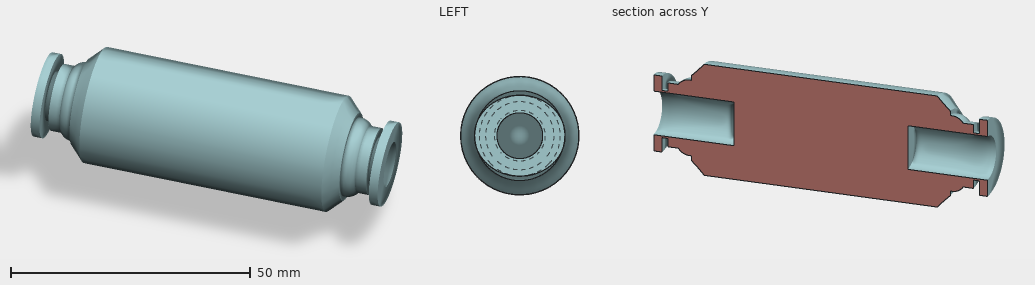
import cadquery as cq
import math

total_length = 75.4
body_diameter = 24.8

flange_thickness = 1.9
neck_length = 1.3
collar_length = 2.35
bulge_length = 2.45
land_length = 0.4
body_chamfer = 3.0

neck_diameter = 10.6
collar_diameter = 14.3
land_diameter = 16.9
bore_diameter = 9.6
bore_depth = 18.0

flange_width = 19.0
flange_height = 17.0

half_length = total_length / 2
flange_inner_x = half_length - flange_thickness
collar_outer_x = flange_inner_x - neck_length
bulge_outer_x = collar_outer_x - collar_length
land_outer_x = bulge_outer_x - bulge_length
body_end_x = land_outer_x - land_length

neck_radius = neck_diameter / 2
collar_radius = collar_diameter / 2
land_radius = land_diameter / 2


def make_body():
    """Cylinder along X with a 45 degree chamfer at both ends."""
    cylinder = (
        cq.Workplane("YZ", origin=(-body_end_x, 0, 0))
        .circle(body_diameter / 2)
        .extrude(2 * body_end_x)
    )
    return cylinder.faces("<X or >X").chamfer(body_chamfer)


def make_stepped_end():
    """Neck, collar, bulge and land at the +X end, revolved about the X axis."""
    bulge_rise = land_radius - collar_radius
    bulge_arc_radius = (bulge_length**2 + bulge_rise**2) / (2 * bulge_rise)
    half_angle = math.asin(bulge_length / bulge_arc_radius) / 2
    bulge_middle = (
        land_outer_x + bulge_arc_radius * math.sin(half_angle),
        land_radius - bulge_arc_radius * (1 - math.cos(half_angle)),
    )
    profile = (
        cq.Workplane("XY")
        .moveTo(body_end_x, 0)
        .lineTo(body_end_x, land_radius)
        .lineTo(land_outer_x, land_radius)
        .threePointArc(bulge_middle, (bulge_outer_x, collar_radius))
        .lineTo(collar_outer_x, collar_radius)
        .lineTo(collar_outer_x, neck_radius)
        .lineTo(flange_inner_x, neck_radius)
        .lineTo(flange_inner_x, 0)
        .close()
    )
    return profile.revolve(360, (0, 0, 0), (1, 0, 0))


def make_flange():
    """Elliptical flange at the +X end, lower in Z than it is wide in Y."""
    return (
        cq.Workplane("YZ", origin=(flange_inner_x, 0, 0))
        .ellipse(flange_width / 2, flange_height / 2)
        .extrude(flange_thickness)
    )


def make_bore():
    """Blind tube socket entering from the +X end."""
    return (
        cq.Workplane("YZ", origin=(half_length - bore_depth, 0, 0))
        .circle(bore_diameter / 2)
        .extrude(bore_depth)
    )


end_fitting = make_stepped_end().union(make_flange())
bore = make_bore()

result = make_body().union(end_fitting).union(end_fitting.mirror("YZ"))
result = result.cut(bore).cut(bore.mirror("YZ"))